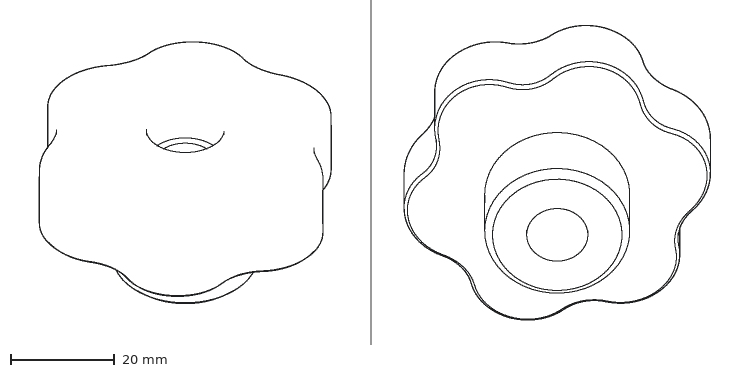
import cadquery as cq
import math

lobe_count = 6
outer_radius = 30.0
lobe_radius = 11.0
valley_arc_radius = 8.5
lobe_center_radius = outer_radius - lobe_radius
lobe_step = 360 / lobe_count
half_step = math.radians(lobe_step / 2)
first_lobe_angle = 90

total_height = 34.65
grip_bottom = 15.05

dome_radius = 109.95
flat_underside_radius = 24.2
underside_rise = 0.9
top_edge_fillet = 1.5
bottom_edge_chamfer = 0.65

boss_diameter = 28.0
boss_chamfer = 1.5
bore_diameter = 11.8
counterbore_diameter = 15.0
counterbore_floor = 25.0
rim_fillet = 1.5

rim_crest_radius = (counterbore_diameter / 2 + rim_fillet) / (1 - rim_fillet / dome_radius)
dome_center_z = total_height - math.sqrt(dome_radius**2 - rim_crest_radius**2)
dome_apex = dome_center_z + dome_radius


def polar_point(radius, degrees):
    angle = math.radians(degrees)
    return radius * math.cos(angle), radius * math.sin(angle)


def lobed_prism():
    """Convex lobes joined by tangent concave arcs, extruded over the grip height."""
    center_distance = lobe_radius + valley_arc_radius
    valley_center_radius = lobe_center_radius * math.cos(half_step) + math.sqrt(
        center_distance**2 - (lobe_center_radius * math.sin(half_step)) ** 2
    )
    valley_radius = valley_center_radius - valley_arc_radius

    share = lobe_radius / center_distance
    lobe_x = lobe_center_radius
    valley_x, valley_y = polar_point(valley_center_radius, lobe_step / 2)
    tangent_x = lobe_x + share * (valley_x - lobe_x)
    tangent_y = share * valley_y
    tangent_radius = math.hypot(tangent_x, tangent_y)
    tangent_angle = math.degrees(math.atan2(tangent_y, tangent_x))

    outline = cq.Workplane("XY").workplane(offset=grip_bottom)
    outline = outline.moveTo(*polar_point(tangent_radius, first_lobe_angle - tangent_angle))
    for index in range(lobe_count):
        lobe_angle = first_lobe_angle + index * lobe_step
        next_angle = lobe_angle + lobe_step
        outline = outline.threePointArc(
            polar_point(outer_radius, lobe_angle),
            polar_point(tangent_radius, lobe_angle + tangent_angle),
        )
        outline = outline.threePointArc(
            polar_point(valley_radius, lobe_angle + lobe_step / 2),
            polar_point(tangent_radius, next_angle - tangent_angle),
        )
    return outline.close().extrude(dome_apex - grip_bottom)


def grip_envelope():
    """Solid of revolution with the spherical top and the raised rim underneath."""
    envelope_radius = outer_radius + lobe_radius
    rim_slope = underside_rise / (outer_radius - flat_underside_radius)
    rim_z = grip_bottom + rim_slope * (envelope_radius - flat_underside_radius)

    def dome_z(radius):
        return dome_center_z + math.sqrt(dome_radius**2 - radius**2)

    return (
        cq.Workplane("XZ")
        .moveTo(0, grip_bottom)
        .lineTo(flat_underside_radius, grip_bottom)
        .lineTo(envelope_radius, rim_z)
        .lineTo(envelope_radius, dome_z(envelope_radius))
        .threePointArc((envelope_radius / 2, dome_z(envelope_radius / 2)), (0, dome_apex))
        .close()
        .revolve(360, (0, 0, 0), (0, 1, 0))
    )


def outline_edges(body, top):
    """Select the curved edges along the lobes, at the dome or at the underside."""
    middle_z = (grip_bottom + total_height) / 2
    selected = []
    for edge in body.edges("not %LINE").vals():
        center = edge.Center()
        on_outline = math.hypot(center.x, center.y) > outer_radius / math.sqrt(2)
        if on_outline and (center.z > middle_z) == top:
            selected.append(edge)
    return body.newObject(selected)


def grip():
    body = lobed_prism().intersect(grip_envelope())
    body = outline_edges(body, True).fillet(top_edge_fillet)
    return outline_edges(body, False).chamfer(bottom_edge_chamfer)


def boss():
    blank = cq.Workplane("XY").circle(boss_diameter / 2).extrude(counterbore_floor)
    return blank.faces("<Z").edges().chamfer(boss_chamfer)


def bore(diameter, floor):
    return cq.Workplane("XY").workplane(offset=floor).circle(diameter / 2).extrude(total_height)


knob = grip().cut(bore(counterbore_diameter, counterbore_floor))
knob = knob.edges(">Z").fillet(rim_fillet)
result = knob.union(boss()).cut(bore(bore_diameter, 0)).cut(bore(counterbore_diameter, counterbore_floor))